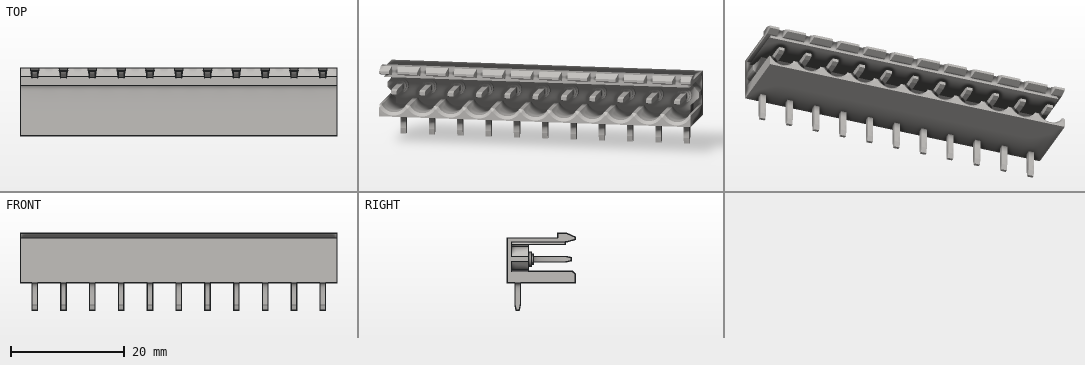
import cadquery as cq

length = 55.75
depth = 12.0
body_height = 7.9
back_wall = 0.8
floor_top = 2.05
ceiling = 7.25
floor_chamfer = 0.5

nose_top = 8.75
nose_back_y = 8.85
nose_flat_y = 10.5
nose_under_y = 10.6
nose_tip_low = 7.65
nose_tip_high = 8.1

pin_count = 11
pitch = 5.1
first_pin_x = (length - (pin_count - 1) * pitch) / 2
wire = 1.0
wire_tip = 0.55
taper_length = 1.0
contact_z = 4.2
contact_tip_y = 11.3
tail_y = 1.85
tail_length = 4.85

block_front_y = 3.8
block_inset = 1.5
ridge_base_low = 2.35
ridge_base_high = 6.4
ridge_crest_low = 3.75
ridge_crest_high = 4.7

wide_collar_diameter = 2.55
wide_collar_front_y = 4.3
narrow_collar_diameter = 1.9
narrow_collar_front_y = 4.65

groove_radius = 2.4
groove_bottom = 0.7

rail_bottom = 6.75
rail_front_y = 10.25
rail_end_low = 0.5
rail_end_high = 0.85

notch_back_y = rail_front_y
notch_front_width = 1.55
notch_back_width = 1.0

pin_places = [first_pin_x + i * pitch for i in range(pin_count)]


def prism_along_x(outline, x_start, x_end):
    """Extrude a (y, z) outline from x_start to x_end."""
    plane = cq.Workplane("YZ", origin=(x_start, 0, 0))
    return plane.polyline(outline).close().extrude(x_end - x_start)


def prism_along_y(outline, y_start, y_end):
    """Extrude an (x, z) outline from y_start to y_end."""
    plane = cq.Workplane("XZ", origin=(0, y_start, 0))
    return plane.polyline(outline).close().extrude(y_start - y_end)


def disc(x, z, radius, y_start, y_end):
    """Make a round disc with its axis along Y."""
    plane = cq.Workplane("XZ", origin=(x, y_start, z))
    return plane.circle(radius).extrude(y_start - y_end)


def make_channel():
    outline = [
        (0, 0),
        (depth, 0),
        (depth, floor_top - floor_chamfer),
        (depth - floor_chamfer, floor_top),
        (back_wall, floor_top),
        (back_wall, ceiling),
        (nose_under_y, ceiling),
        (depth, nose_tip_low),
        (depth, nose_tip_high),
        (nose_flat_y, nose_top),
        (nose_back_y, nose_top),
        (nose_back_y, body_height),
        (0, body_height),
    ]
    return prism_along_x(outline, 0, length)


def make_groove(x):
    groove_z = groove_bottom + groove_radius
    bore = disc(x, groove_z, groove_radius, back_wall, depth)
    flare = (
        cq.Workplane("XZ", origin=(x, depth, groove_z))
        .circle(groove_radius + floor_chamfer)
        .workplane(offset=floor_chamfer)
        .circle(groove_radius)
        .loft()
    )
    cutter = bore.union(flare)
    floor_only = cq.Workplane().box(pitch * 2, depth, floor_top, centered=(True, False, False))
    return cutter.intersect(floor_only.translate((x, 0, 0)))


def make_notch(x):
    outline = [
        (x - notch_front_width / 2, depth),
        (x - notch_back_width / 2, notch_back_y),
        (x + notch_back_width / 2, notch_back_y),
        (x + notch_front_width / 2, depth),
    ]
    plane = cq.Workplane("XY", origin=(0, 0, ceiling))
    return plane.polyline(outline).close().extrude(nose_top - ceiling)


def make_block():
    outline = [
        (block_inset, groove_bottom / 2),
        (block_inset, ridge_base_low),
        (0, ridge_crest_low),
        (0, ridge_crest_high),
        (block_inset, ridge_base_high),
        (block_inset, ceiling),
    ]
    mirrored = [(length - x, z) for x, z in reversed(outline)]
    return prism_along_y(outline + mirrored, back_wall, block_front_y)


def make_rail():
    outline = [
        (rail_end_high, ceiling),
        (rail_end_low, rail_bottom),
        (length - rail_end_low, rail_bottom),
        (length - rail_end_high, ceiling),
    ]
    return prism_along_y(outline, back_wall, rail_front_y)


def tapered_outline(centre, root, tip):
    """Outline of a wire from root to tip as (along, across) points."""
    shoulder = tip - taper_length if tip > root else tip + taper_length
    return [
        (root, centre - wire / 2),
        (shoulder, centre - wire / 2),
        (tip, centre - wire_tip / 2),
        (tip, centre + wire_tip / 2),
        (shoulder, centre + wire / 2),
        (root, centre + wire / 2),
    ]


def make_contact(x):
    left = x - wire / 2
    right = x + wire / 2
    blade = prism_along_x(tapered_outline(contact_z, tail_y, contact_tip_y), left, right)
    tail_outline = [(y, z) for z, y in tapered_outline(tail_y, contact_z, -tail_length)]
    tail = prism_along_x(tail_outline, left, right)
    wide = disc(x, contact_z, wide_collar_diameter / 2, tail_y, wide_collar_front_y)
    narrow = disc(x, contact_z, narrow_collar_diameter / 2, tail_y, narrow_collar_front_y)
    return blade.union(tail).union(wide).union(narrow)


result = make_channel()
for pin_x in pin_places:
    result = result.cut(make_groove(pin_x)).cut(make_notch(pin_x))

result = result.union(make_block()).union(make_rail())
for pin_x in pin_places:
    result = result.union(make_contact(pin_x))